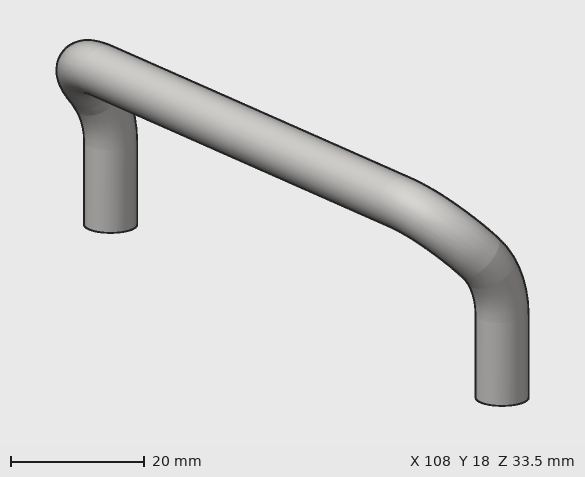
import cadquery as cq
import math

overall_length = 108.0
overall_depth = 18.0
overall_height = 33.5
bar_diameter = 8.0
corner_radius = 12.0
lean_radius = 14.3
lean_angle = math.radians(43.0)
transition_steps = 4

bar_radius = bar_diameter / 2
leg_x = overall_length / 2 - bar_radius
grip_start_x = leg_x - corner_radius
grip_y = -(overall_depth - bar_diameter)
grip_z = overall_height - bar_radius

flat_length = (-grip_y - lean_radius * (1 - math.cos(lean_angle))) / math.sin(lean_angle)
leg_length = grip_z - lean_radius * math.sin(lean_angle) - flat_length * math.cos(lean_angle)

corner_start_lean = lean_angle - (corner_radius - flat_length) / lean_radius
bend_end_turn = math.asin(1 - flat_length / corner_radius)


def lean_point(lean, inset=0.0):
    """Point on the lean bend of the -X leg, shifted by inset towards the middle."""
    return cq.Vector(
        -leg_x + inset,
        -lean_radius * (1 - math.cos(lean)),
        leg_length + lean_radius * math.sin(lean),
    )


def corner_lean(turn):
    """Lean reached in the lean bend when the U corner has turned by the given angle."""
    return corner_start_lean + corner_radius * math.sin(turn) / lean_radius


def corner_inset(turn):
    return corner_radius * (1 - math.cos(turn))


def transition_point(turn):
    return lean_point(corner_lean(turn), corner_inset(turn))


def tangent(turn, lean):
    """Unit direction of the centreline for a corner turn and a lean."""
    rise = math.cos(turn)
    return cq.Vector(math.sin(turn), -rise * math.sin(lean), rise * math.cos(lean))


def flat_corner_point(turn):
    """Point of the corner beyond the lean bend, on the tilted plane of the U."""
    to_grip = corner_radius * (1 - math.sin(turn))
    return cq.Vector(
        -leg_x + corner_inset(turn),
        grip_y + to_grip * math.sin(lean_angle),
        grip_z - to_grip * math.cos(lean_angle),
    )


def half_centreline():
    """Centreline from the foot of the -X leg to the middle of the grip."""
    foot = cq.Vector(-leg_x, 0, 0)
    leg_top = lean_point(0)
    leg = cq.Edge.makeLine(foot, leg_top)
    lean_bend = cq.Edge.makeThreePointArc(
        leg_top, lean_point(corner_start_lean / 2), lean_point(corner_start_lean)
    )
    turns = [bend_end_turn * i / transition_steps for i in range(transition_steps + 1)]
    transition = cq.Edge.makeSpline(
        [transition_point(turn) for turn in turns],
        tangents=[tangent(0, corner_start_lean), tangent(bend_end_turn, lean_angle)],
    )
    grip_start = cq.Vector(-grip_start_x, grip_y, grip_z)
    corner = cq.Edge.makeThreePointArc(
        flat_corner_point(bend_end_turn),
        flat_corner_point((bend_end_turn + math.pi / 2) / 2),
        grip_start,
    )
    grip = cq.Edge.makeLine(grip_start, cq.Vector(0, grip_y, grip_z))
    return cq.Wire.assembleEdges([leg, lean_bend, transition, corner, grip])


half = cq.Workplane("XY").center(-leg_x, 0).circle(bar_radius).sweep(half_centreline())
result = half.union(half.mirror("YZ")).clean()